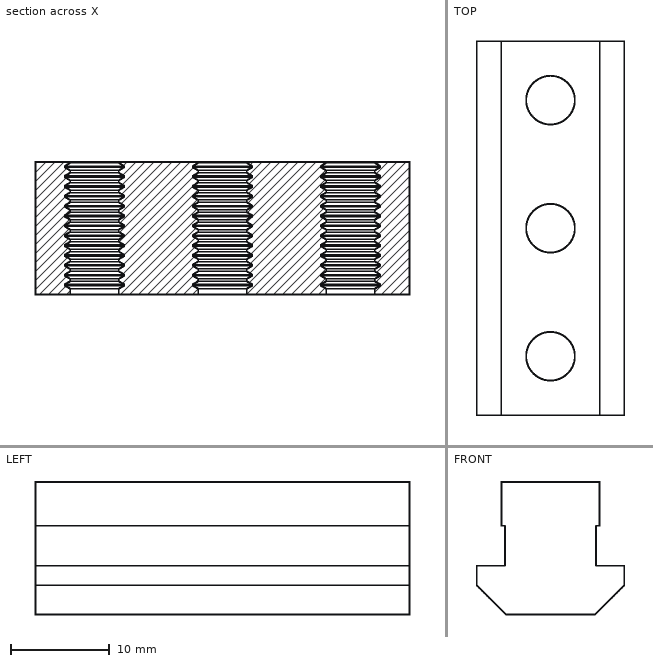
import cadquery as cq
import math

length = 38.0
height = 13.5
flange_width = 15.0

head_width = 10.0
head_height = 4.5
neck_width = 9.27
flange_height = 4.98
flange_chamfer = 3.0

hole_count = 3
hole_spacing = 13.0

thread_diameter = 6.0
thread_pitch = thread_diameter / 6
crest_flat = thread_pitch / 4
root_flat = thread_pitch / 8
thread_depth = (thread_pitch - crest_flat - root_flat) / 2 / math.tan(math.radians(30))


def make_bar():
    """T-shaped bar, extruded both ways from the middle of its length."""
    head_bottom = height - head_height
    right_side = [
        (flange_width / 2 - flange_chamfer, 0),
        (flange_width / 2, flange_chamfer),
        (flange_width / 2, flange_height),
        (neck_width / 2, flange_height),
        (neck_width / 2, head_bottom),
        (head_width / 2, head_bottom),
        (head_width / 2, height),
    ]
    left_side = [(-x, z) for x, z in reversed(right_side)]
    outline = cq.Workplane("XZ").polyline(right_side + left_side).close()
    return outline.extrude(length / 2, both=True)


def make_tapped_hole():
    """Through bore with ring grooves for the thread, revolved about Z."""
    root_radius = thread_diameter / 2
    crest_radius = root_radius - thread_depth
    outline = [(0, height), (crest_radius, height)]
    groove_count = math.floor(height / thread_pitch)
    for index in range(groove_count):
        groove_top = height - crest_flat / 2 - index * thread_pitch
        groove_bottom = groove_top - thread_pitch + crest_flat
        groove_middle = (groove_top + groove_bottom) / 2
        outline += [
            (crest_radius, groove_top),
            (root_radius, groove_middle + root_flat / 2),
            (root_radius, groove_middle - root_flat / 2),
            (crest_radius, groove_bottom),
        ]
    outline += [(crest_radius, 0), (0, 0)]
    return cq.Workplane("XZ").polyline(outline).close().revolve(360, (0, 0, 0), (0, 1, 0))


result = make_bar()
tapped_hole = make_tapped_hole()
for index in range(hole_count):
    hole_y = (index - (hole_count - 1) / 2) * hole_spacing
    result = result.cut(tapped_hole.translate((0, hole_y, 0)))